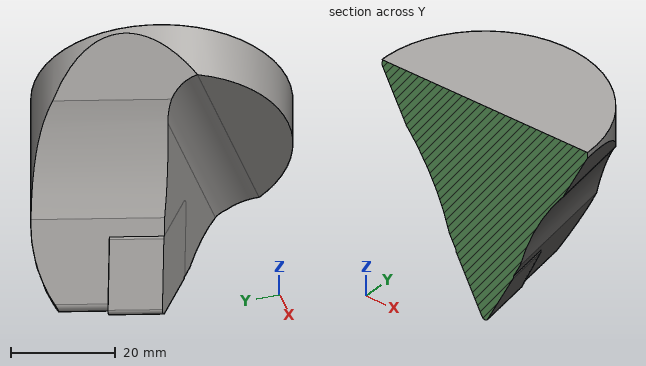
import cadquery as cq
import math

diameter = 50.0
radius = diameter / 2
height = 49.75
reach = 2 * diameter

rake_angle = math.radians(10.0)
tip_y = -0.25
rim_thickness = 10.1
underside_angle = math.radians(4.4)
throat_radius = 8.0

insert_half_angle = math.radians(27.5)
inscribed_diameter = 12.7
insert_corner_radius = 0.8
insert_thickness = 11.0

flank_relief = 0.2
shank_tip_radius = 1.25
lower_flank_top = 16.15
upper_flank_bottom = 36.3
upper_flank_half_width = 19.1
flank_arc_radius = 55.0

heel_start = 29.0
heel_radius = 31.0

rake_plane = cq.Plane(
    origin=(0, tip_y, -height),
    xDir=(1, 0, 0),
    normal=(0, -math.cos(rake_angle), -math.sin(rake_angle)),
)

insert_tip_loss = insert_corner_radius * (1 / math.sin(insert_half_angle) - 1)


def make_envelope():
    """Cylinder whose lower end is rounded inward by an arc tangent to its wall."""
    drop = height - heel_start
    heel_angle = math.asin(drop / heel_radius)

    def heel_point(angle):
        inset = heel_radius * (1 - math.cos(angle))
        return radius - inset, -heel_start - heel_radius * math.sin(angle)

    return (
        cq.Workplane("XZ")
        .lineTo(radius, 0)
        .lineTo(radius, -heel_start)
        .threePointArc(heel_point(heel_angle / 2), heel_point(heel_angle))
        .lineTo(0, -height)
        .close()
        .revolve(360, (0, 0, 0), (0, 1, 0))
    )


def make_side_profile():
    """Side outline: head in front, shank behind the leaning rake face."""
    rake_slope = math.tan(rake_angle)
    underside_slope = math.tan(underside_angle)
    rim_height = height - rim_thickness
    throat_rise = (
        (rim_height - (tip_y + radius) * underside_slope)
        / (1 - rake_slope * underside_slope)
    )
    throat = (tip_y - throat_rise * rake_slope, throat_rise - height)

    profile = (
        cq.Workplane("YZ")
        .polyline([
            (-radius, 0),
            (-radius, -rim_thickness),
            throat,
            (tip_y, -height),
            (radius, -height),
            (radius, 0),
        ])
        .close()
        .extrude(radius, both=True)
    )
    throat_edge = cq.selectors.NearestToPointSelector((0, *throat))
    return profile.edges("|X").edges(throat_edge).fillet(throat_radius)


def make_flanks():
    """Symmetric shank section swept square to the rake face."""
    flank_slope = math.tan(insert_half_angle)
    sharp_tip = flank_relief / math.sin(insert_half_angle) - insert_tip_loss
    lower_half_width = (lower_flank_top - sharp_tip) * flank_slope
    top = height + radius
    top_half_width = upper_flank_half_width + (top - upper_flank_bottom) * flank_slope

    run = upper_flank_half_width - lower_half_width
    rise = upper_flank_bottom - lower_flank_top
    chord = math.hypot(run, rise)
    sagitta = flank_arc_radius - math.sqrt(flank_arc_radius**2 - (chord / 2) ** 2)
    arc_x = (upper_flank_half_width + lower_half_width) / 2 - sagitta * rise / chord
    arc_y = (upper_flank_bottom + lower_flank_top) / 2 + sagitta * run / chord

    flanks = (
        cq.Workplane(rake_plane)
        .moveTo(0, sharp_tip)
        .lineTo(lower_half_width, lower_flank_top)
        .threePointArc((arc_x, arc_y), (upper_flank_half_width, upper_flank_bottom))
        .lineTo(top_half_width, top)
        .lineTo(-top_half_width, top)
        .lineTo(-upper_flank_half_width, upper_flank_bottom)
        .threePointArc((-arc_x, arc_y), (-lower_half_width, lower_flank_top))
        .close()
        .extrude(reach, both=True)
    )
    tip_point = rake_plane.toWorldCoords((0, sharp_tip, 0)).toTuple()
    tip_edge = cq.selectors.NearestToPointSelector(tip_point)
    return flanks.edges(tip_edge).fillet(shank_tip_radius)


def make_insert():
    """Rhombic insert with rounded corners, flush with the rake face."""
    half_length = inscribed_diameter / 2 / math.sin(insert_half_angle)
    half_width = inscribed_diameter / 2 / math.cos(insert_half_angle)
    center = half_length - insert_tip_loss
    corners = [
        (0, center - half_length),
        (half_width, center),
        (0, center + half_length),
        (-half_width, center),
    ]
    insert = cq.Workplane(rake_plane).polyline(corners).close().extrude(-insert_thickness)
    swept_edges = cq.selectors.ParallelDirSelector(rake_plane.zDir)
    return insert.edges(swept_edges).fillet(insert_corner_radius)


holder = make_envelope().intersect(make_side_profile()).intersect(make_flanks())
insert = make_insert()
result = holder.cut(insert).union(insert, clean=False)